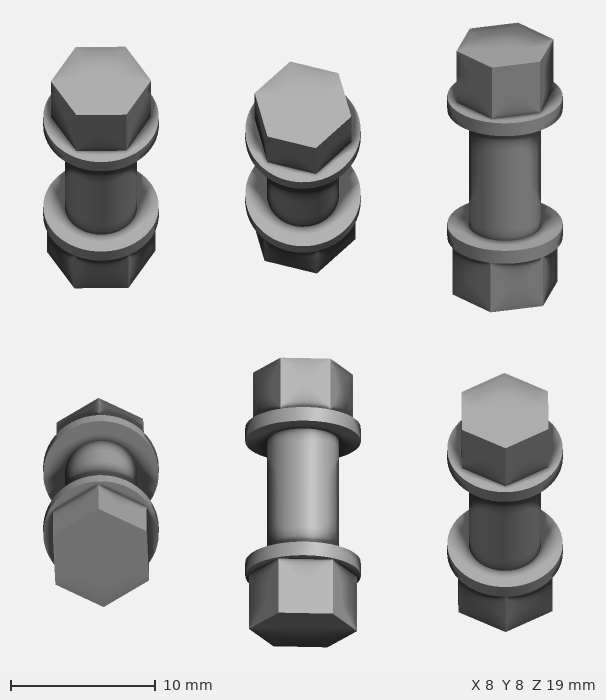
import cadquery as cq
import math

total_length = 19.0
hex_height = 4.0
flange_thickness = 1.0
flange_diameter = 8.0
shank_diameter = 5.0
head_across_flats = 6.0
nut_across_flats = 6.5

nut_height = hex_height + flange_thickness
head_base = total_length - hex_height
head_flange_base = head_base - flange_thickness


def hex_prism(across_flats, base):
    """Hexagonal prism with two corners on the X axis."""
    across_corners = across_flats / math.cos(math.pi / 6)
    return cq.Workplane("XY").workplane(offset=base).polygon(6, across_corners).extrude(hex_height)


def cylinder(diameter, base, height):
    """Cylinder about the Z axis."""
    return cq.Workplane("XY").workplane(offset=base).circle(diameter / 2).extrude(height)


def make_bolt():
    """Flanged hex bolt whose shank ends flush with the lower end of the nut."""
    shank = cylinder(shank_diameter, 0, head_flange_base)
    flange = cylinder(flange_diameter, head_flange_base, flange_thickness)
    head = hex_prism(head_across_flats, head_base)
    return shank.union(flange).union(head)


def make_nut():
    """Flanged hex nut with a through bore that fits the shank."""
    body = hex_prism(nut_across_flats, 0)
    flange = cylinder(flange_diameter, hex_height, flange_thickness)
    bore = cylinder(shank_diameter, 0, nut_height)
    return body.union(flange).cut(bore)


bolt = make_bolt()
nut = make_nut()

result = cq.Compound.makeCompound([bolt.val(), nut.val()])